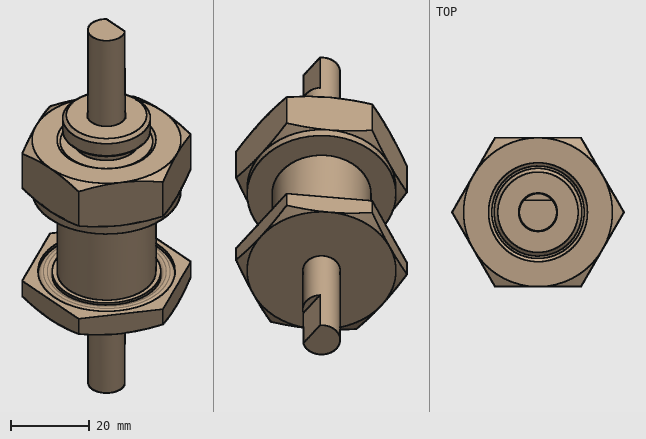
import cadquery as cq
import math

SHAFT_LENGTH = 111.1
LOWER_NUT_BOTTOM = 28.8
LOWER_NUT_TOP = 35.0
WASHER_BOTTOM = 60.5
UPPER_NUT_BOTTOM = 62.9
UPPER_NUT_TOP = 76.5
COLLAR_BOTTOM = 78.6
COLLAR_TOP = 84.2

SHAFT_DIAMETER = 9.6
FLAT_LENGTH = 12.6
FLAT_DEPTH = 1.7

BODY_DIAMETER = 25.3
NECK_DIAMETER = 16.6
COLLAR_DIAMETER = 22.5
COLLAR_CHAMFER = 0.95
COLLAR_BORE_DIAMETER = 9.9

ACROSS_FLATS = 38.1
NUT_CHAMFER_ANGLE = 25.0
WASHER_DIAMETER = ACROSS_FLATS
RECESS_DEPTH = 0.6
RECESS_TAPER = 0.83

SEAL_OUTER_DIAMETER = 35.1
SEAL_INNER_DIAMETER = 27.8
SEAL_EDGE_RADIUS = 1.3

across_corners = ACROSS_FLATS / math.cos(math.radians(30))
nut_chamfer_height = (across_corners - ACROSS_FLATS) / 2 * math.tan(math.radians(NUT_CHAMFER_ANGLE))


def cylinder(diameter, bottom, top):
    """Upright cylinder on the Z axis."""
    return cq.Workplane("XY").workplane(offset=bottom).circle(diameter / 2).extrude(top - bottom)


def hexagon(bottom, top):
    """Plain hexagon prism with two corners on the X axis."""
    return cq.Workplane("XY").workplane(offset=bottom).polygon(6, across_corners).extrude(top - bottom)


def chamfer_cone(bottom, top, chamfer_top):
    """Round envelope that trims the hexagon corners at the bottom and, if wanted, at the top."""
    face_radius = ACROSS_FLATS / 2
    corner_radius = across_corners / 2
    outline = (
        cq.Workplane("XZ")
        .moveTo(0, bottom)
        .lineTo(face_radius, bottom)
        .lineTo(corner_radius, bottom + nut_chamfer_height)
    )
    if chamfer_top:
        outline = outline.lineTo(corner_radius, top - nut_chamfer_height).lineTo(face_radius, top)
    else:
        outline = outline.lineTo(corner_radius, top)
    return outline.lineTo(0, top).close().revolve(360, (0, 0, 0), (0, 1, 0))


def nut(bottom, top, chamfer_top):
    return hexagon(bottom, top).intersect(chamfer_cone(bottom, top, chamfer_top))


def seal_notch(wall_diameter, seal_side):
    """Ring-shaped notch between a groove wall and the rounded edge of the sealing ring.

    seal_side is -1 when the seal is closer to the axis than the wall and +1 when it is farther out.
    """
    wall = wall_diameter / 2
    crown = wall + seal_side * SEAL_EDGE_RADIUS
    bow = SEAL_EDGE_RADIUS * math.sqrt(0.5)
    arc_middle = (crown - seal_side * bow, LOWER_NUT_TOP - SEAL_EDGE_RADIUS + bow)
    return (
        cq.Workplane("XZ")
        .moveTo(wall, LOWER_NUT_TOP)
        .lineTo(wall, LOWER_NUT_TOP - SEAL_EDGE_RADIUS)
        .threePointArc(arc_middle, (crown, LOWER_NUT_TOP))
        .close()
        .revolve(360, (0, 0, 0), (0, 1, 0))
    )


def shaft_flat(bottom):
    """Block that removes the +Y side of one shaft end."""
    flat_y = SHAFT_DIAMETER / 2 - FLAT_DEPTH
    return (
        cq.Workplane("XY")
        .box(SHAFT_DIAMETER, SHAFT_DIAMETER, FLAT_LENGTH, centered=(True, False, False))
        .translate((0, flat_y, bottom))
    )


lower_nut = nut(LOWER_NUT_BOTTOM, LOWER_NUT_TOP, chamfer_top=False)
lower_nut = lower_nut.cut(seal_notch(SEAL_OUTER_DIAMETER, -1))
lower_nut = lower_nut.cut(seal_notch(SEAL_INNER_DIAMETER, 1))

recess_floor = UPPER_NUT_TOP - RECESS_DEPTH
recess = (
    cq.Workplane("XY")
    .workplane(offset=recess_floor)
    .circle(BODY_DIAMETER / 2 - RECESS_TAPER)
    .workplane(offset=RECESS_DEPTH)
    .circle(BODY_DIAMETER / 2)
    .loft()
)
upper_nut = nut(UPPER_NUT_BOTTOM, UPPER_NUT_TOP, chamfer_top=True).cut(recess)
washer = cylinder(WASHER_DIAMETER, WASHER_BOTTOM, UPPER_NUT_BOTTOM)

body = cylinder(BODY_DIAMETER, LOWER_NUT_TOP, WASHER_BOTTOM)
neck = cylinder(NECK_DIAMETER, recess_floor, COLLAR_BOTTOM)
collar = cylinder(COLLAR_DIAMETER, COLLAR_BOTTOM, COLLAR_TOP).edges().chamfer(COLLAR_CHAMFER)
collar = collar.cut(cylinder(COLLAR_BORE_DIAMETER, COLLAR_BOTTOM, COLLAR_TOP))

shaft = cylinder(SHAFT_DIAMETER, 0, SHAFT_LENGTH)
for flat_bottom in (0, SHAFT_LENGTH - FLAT_LENGTH):
    shaft = shaft.cut(shaft_flat(flat_bottom))

result = lower_nut
for piece in (body, washer, upper_nut, neck, collar, shaft):
    result = result.union(piece)